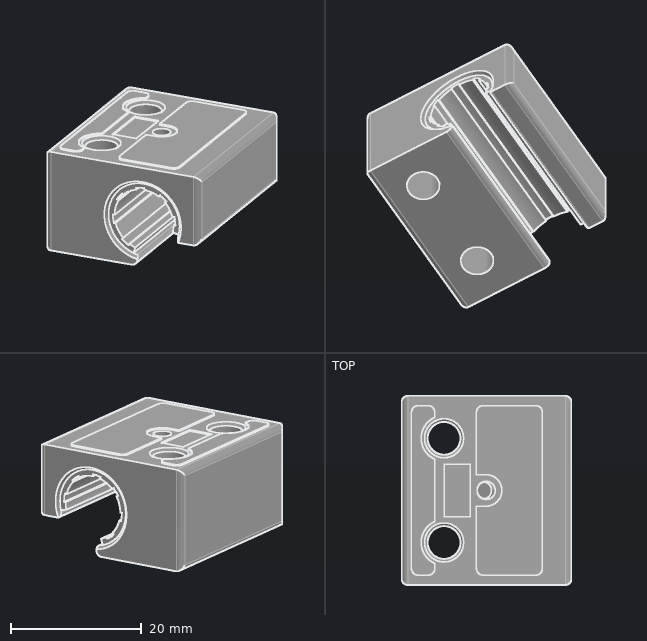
import cadquery as cq
import math

length_x = 26.0
width_y = 29.0
height = 16.5
pad_height = 0.2
top_z = height - pad_height
edge_radius = 1.0
side_offset = length_x / 2

bore_x = 3.5
bore_z = 7.5
bore_radius = 6.0
bore_chamfer = 0.5
mouth_left_x = 2.58
mouth_right_x = 9.25
leg_bottom_z = 4.95
lip_outer_radius = 1.0
lip_inner_radius = 0.35
leg_tip_radius = 0.38

liner_radius = 5.0
groove_radius = 5.28
liner_start_angle = -13.9
liner_end_angle = 252.7
groove_pitch = 45.0
groove_angle = 15.0
groove_count = 6
liner_length = width_y - 2 * bore_chamfer

pin_hole_x = -0.05
pin_hole_radius = 1.4
pin_radius = 1.25
pin_angle = (liner_start_angle + liner_end_angle) / 2
pin_reach = 7.83

mount_x = -6.5
mount_y = 7.98
mount_radius = 2.5
mount_chamfer = 0.5
mount_points = [(mount_x, -mount_y), (mount_x, mount_y)]

pad_half_width = 12.95
pad_corner_radius = 1.0
left_pad_x = (-11.48, -7.92)
right_pad_x = (-1.55, 8.55)
mount_relief_radius = 3.5
pin_relief_radius = 2.4
label_x = (-6.5, -2.46)
label_half_width = 4.0
label_depth = 0.2


def block(x_range, half_width, z_range):
    """Box between two X values and two Z values, centred on Y."""
    return (
        cq.Workplane("XY", origin=(0, 0, z_range[0]))
        .moveTo(sum(x_range) / 2, 0)
        .rect(x_range[1] - x_range[0], 2 * half_width)
        .extrude(z_range[1] - z_range[0])
    )


def post(radius, z_range, points):
    """Upright cylinders at the given points."""
    return (
        cq.Workplane("XY", origin=(0, 0, z_range[0]))
        .pushPoints(points)
        .circle(radius)
        .extrude(z_range[1] - z_range[0])
    )


def bore_plane(length):
    """Plane on the bore axis from which an extrusion of this length is centred on Y."""
    return cq.Workplane("XZ", origin=(bore_x, length / 2, bore_z))


def ring_sector(outer, inner, start, end, length):
    """Part of a ring around the bore axis, between two angles in degrees."""

    def at(radius, angle):
        turn = math.radians(angle)
        return radius * math.cos(turn), radius * math.sin(turn)

    middle = (start + end) / 2
    return (
        bore_plane(length)
        .moveTo(*at(outer, start))
        .threePointArc(at(outer, middle), at(outer, end))
        .lineTo(*at(inner, end))
        .threePointArc(at(inner, middle), at(inner, start))
        .close()
        .extrude(length)
    )


def round_mouth_edge(body, x, z, radius):
    """Round the edge along Y that passes through the given X and Z."""
    margin = 0.03
    near_edge = cq.selectors.BoxSelector(
        (x - margin, -width_y, z - margin),
        (x + margin, width_y, z + margin),
    )
    return body.edges("|Y").edges(near_edge).fillet(radius)


def make_housing():
    half_width = width_y / 2
    body = block((-side_offset, side_offset), half_width, (0, top_z))
    body = body.cut(block((mouth_left_x, side_offset), half_width, (0, leg_bottom_z)))
    body = body.faces("<X or >X").edges().fillet(edge_radius)
    body = body.cut(bore_plane(width_y).circle(bore_radius).extrude(width_y))
    body = body.cut(block((mouth_left_x, mouth_right_x), half_width, (0, bore_z)))

    lip_drop = math.sqrt(bore_radius**2 - (mouth_left_x - bore_x) ** 2)
    body = round_mouth_edge(body, mouth_left_x, 0, lip_outer_radius)
    body = round_mouth_edge(body, mouth_left_x, bore_z - lip_drop, lip_inner_radius)
    body = round_mouth_edge(body, mouth_right_x, leg_bottom_z, leg_tip_radius)

    for side in (-1, 1):
        cone = cq.Solid.makeCone(
            bore_radius + bore_chamfer,
            bore_radius,
            bore_chamfer,
            pnt=cq.Vector(bore_x, side * half_width, bore_z),
            dir=cq.Vector(0, -side, 0),
        )
        body = body.cut(cq.Workplane(cone))
    return body


def make_liner():
    groove_overcut = 0.3
    groove_inner = liner_radius - groove_overcut
    liner = ring_sector(bore_radius, liner_radius, liner_start_angle, liner_end_angle, liner_length)
    for index in range(groove_count):
        start = index * groove_pitch
        groove = ring_sector(groove_radius, groove_inner, start, start + groove_angle, liner_length)
        liner = liner.cut(groove)
    return liner


def make_pin():
    """Pin standing radially on the liner, rooted inside the liner wall."""
    turn = math.radians(pin_angle)
    direction = cq.Vector(math.cos(turn), 0, math.sin(turn))
    root = (groove_radius + bore_radius) / 2
    start = cq.Vector(bore_x, 0, bore_z) + direction * root
    return cq.Workplane(cq.Solid.makeCylinder(pin_radius, pin_reach - root, start, direction))


def make_pads():
    pads_z = (top_z, height)
    left = block(left_pad_x, pad_half_width, pads_z).edges("|Z").fillet(pad_corner_radius)
    left = left.cut(post(mount_relief_radius, pads_z, mount_points))
    right = block(right_pad_x, pad_half_width, pads_z).edges("|Z").fillet(pad_corner_radius)
    right = right.cut(post(pin_relief_radius, pads_z, [(pin_hole_x, 0)]))
    right = right.cut(block((right_pad_x[0], pin_hole_x), pin_relief_radius, pads_z))
    return left.union(right)


def make_mount_holes():
    """Chamfered through holes for the mounting screws."""
    holes = post(mount_radius, (0, top_z), mount_points)
    for x, y in mount_points:
        chamfer = cq.Solid.makeCone(
            mount_radius,
            mount_radius + mount_chamfer,
            mount_chamfer,
            pnt=cq.Vector(x, y, top_z - mount_chamfer),
        )
        holes = holes.union(cq.Workplane(chamfer))
    return holes


housing = make_housing().cut(make_mount_holes())
housing = housing.cut(post(pin_hole_radius, (bore_z, top_z), [(pin_hole_x, 0)]))
housing = housing.cut(block(label_x, label_half_width, (top_z - label_depth, top_z)))

result = housing.union(make_liner()).union(make_pin()).union(make_pads())